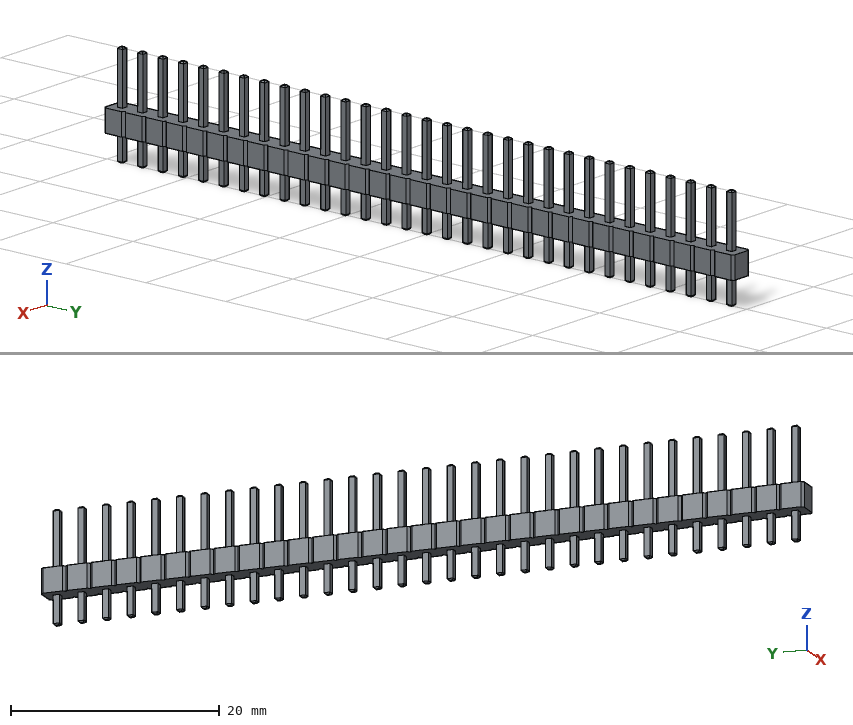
import cadquery as cq

row_length = 78.75
pin_count = 31
pitch = row_length / pin_count

body_width = pitch
body_height = pitch
corner_chamfer = 0.25

pin_width = 0.64
pin_length = 11.6
above_to_below = 2
pin_below = (pin_length - body_height) / (1 + above_to_below)
tip_chamfer = 0.15

pin_centres = [(0, (i - (pin_count - 1) / 2) * pitch) for i in range(pin_count)]


def body_cell():
    """One cell of the body, standing on Z = 0, with its four upright edges chamfered."""
    cell = cq.Workplane("XY").box(body_width, pitch, body_height, centered=(True, True, False))
    return cell.edges("|Z").chamfer(corner_chamfer)


def pin():
    """One square pin, passing through the body, with both ends tapered."""
    bar = cq.Workplane("XY").box(pin_width, pin_width, pin_length, centered=(True, True, False))
    return bar.faces("<Z or >Z").edges().chamfer(tip_chamfer).translate((0, 0, -pin_below))


header_cell = body_cell().union(pin()).val()
header_cells = cq.Workplane("XY").pushPoints(pin_centres).eachpoint(header_cell)
result = header_cells.combine(clean=True)